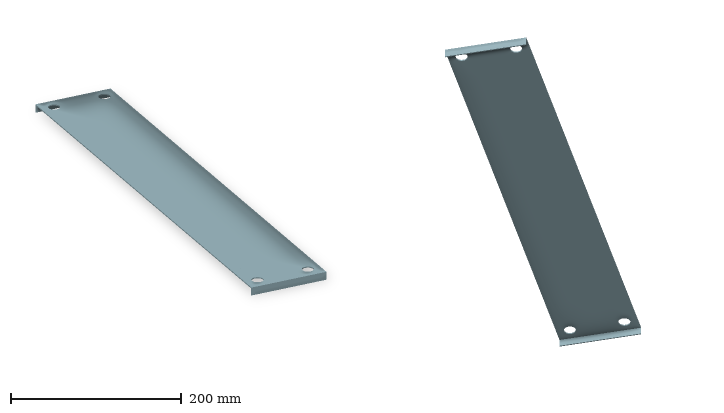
import cadquery as cq

length = 567.0
width = 98.0
height = 10.0
sheet = 1.5

hole_diameter = 14.0
hole_spacing_x = 534.0
hole_spacing_y = 66.0

cover = cq.Workplane("XY").box(length, width, height, centered=(True, True, False))
hollow = cq.Workplane("XY").box(
    length - 2 * sheet, width, height - sheet, centered=(True, True, False)
)
channel = cover.cut(hollow)

result = (
    channel.faces(">Z")
    .workplane(origin=(0, 0, height))
    .rarray(hole_spacing_x, hole_spacing_y, 2, 2)
    .hole(hole_diameter)
)